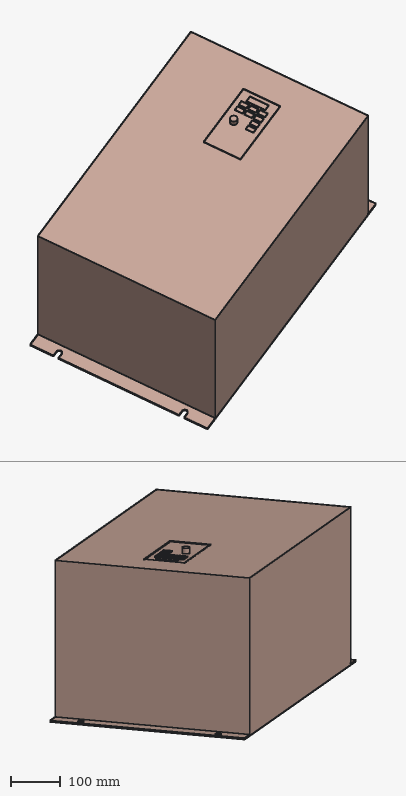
import cadquery as cq

width = 413.0
plate_length = 659.0
plate_thickness = 3.0
body_length = 599.0
overall_height = 337.0
knob_projection = 10.0
body_height = overall_height - knob_projection

mount_spacing = 292.5
mount_diameter = 12.0
hole_y = 317.0
slot_center_y = -317.0

panel_width = 85.5
panel_length = 155.5
panel_center_y = 152.0
panel_depth = 2.0
panel_floor = body_height - panel_depth

key_height = 1.0
display_width = 43.5
display_length = 14.0
display_y = 213.5
key_width = 18.0
key_length = 10.5
key_pitch_x = 22.0
key_pitch_y = 15.0
first_key_y = 196.5
key_columns_by_row = ((-1, 0, 1), (-1, 0, 1), (1,), (1,))

knob_diameter = 15.0
knob_x = -17.0
knob_y = 149.0


def block(size_x, size_y, size_z, x=0, y=0, z=0):
    """Box centred on x and y, with its underside at z."""
    return cq.Workplane("XY").box(size_x, size_y, size_z, centered=(True, True, False)).translate((x, y, z))


def mounting_plate():
    """Plate with round holes at the back and open slots at the front."""
    plate = block(width, plate_length, plate_thickness)
    slot_length = slot_center_y + plate_length / 2
    for x in (-mount_spacing / 2, mount_spacing / 2):
        for y in (hole_y, slot_center_y):
            plate = plate.cut(cq.Workplane("XY").center(x, y).circle(mount_diameter / 2).extrude(plate_thickness))
        slot_y = slot_center_y - slot_length / 2
        plate = plate.cut(block(mount_diameter, slot_length, plate_thickness, x, slot_y))
    return plate


def add_keys(part):
    """Add the staggered rows of keys."""
    for row, columns in enumerate(key_columns_by_row):
        y = first_key_y - row * key_pitch_y
        for column in columns:
            part = part.union(block(key_width, key_length, key_height, column * key_pitch_x, y, panel_floor))
    return part


def knob():
    """Cylinder rising from the panel floor."""
    base = cq.Workplane("XY", origin=(knob_x, knob_y, panel_floor))
    return base.circle(knob_diameter / 2).extrude(overall_height - panel_floor)


result = mounting_plate().union(block(width, body_length, body_height))
result = result.cut(block(panel_width, panel_length, panel_depth, 0, panel_center_y, panel_floor))
result = result.union(block(display_width, display_length, key_height, 0, display_y, panel_floor))
result = add_keys(result).union(knob())